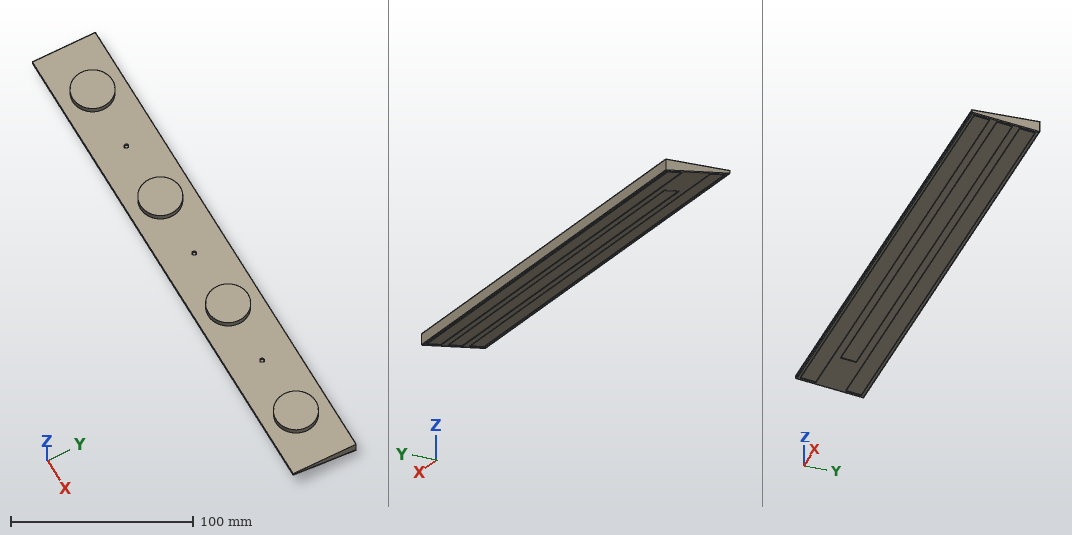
import cadquery as cq
import math

length = 299.3
width = 39.4
front_thickness = 2.04
slope_angle = 7.0
edge_chamfer = 0.5

pitch = 77.8
boss_count = 4
boss_diameter = 24.8
boss_height = 3.5
hole_diameter = 2.53
hole_depth = 1.5

recess_width = 9.0
recess_depth = 0.5
recess_margin = 2.0
middle_recess_start = 32.0
cutter_overshoot = 1.0


def underside_z(y):
    """Height of the sloping underside at a given Y."""
    return -front_thickness - (y + width / 2) * math.tan(math.radians(slope_angle))


def row_positions(count):
    """Evenly pitched points along X, centred on the strip."""
    return [((i - (count - 1) / 2) * pitch, 0) for i in range(count)]


def make_wedge():
    """Wedge with a chamfer all round its sloping underside."""
    front_y = -width / 2
    back_y = width / 2
    profile = [
        (front_y, 0),
        (back_y, 0),
        (back_y, underside_z(back_y)),
        (front_y, underside_z(front_y)),
    ]
    wedge = cq.Workplane("YZ").polyline(profile).close().extrude(length / 2, both=True)
    return wedge.faces("<Z").chamfer(edge_chamfer)


def make_bosses():
    """Row of round bosses standing on the top face."""
    points = row_positions(boss_count)
    return cq.Workplane("XY").pushPoints(points).circle(boss_diameter / 2).extrude(boss_height)


def make_holes():
    """Cutters for the blind holes between neighbouring bosses."""
    points = row_positions(boss_count - 1)
    return cq.Workplane("XY").pushPoints(points).circle(hole_diameter / 2).extrude(-hole_depth)


def make_recess(start_x, end_x, center_y):
    """Cutter for one recess whose floor runs parallel to the underside."""
    near_y = center_y - recess_width / 2
    far_y = center_y + recess_width / 2
    profile = [
        (near_y, underside_z(near_y) - cutter_overshoot),
        (far_y, underside_z(far_y) - cutter_overshoot),
        (far_y, underside_z(far_y) + recess_depth),
        (near_y, underside_z(near_y) + recess_depth),
    ]
    plane = cq.Workplane("YZ", origin=(start_x, 0, 0))
    return plane.polyline(profile).close().extrude(end_x - start_x)


def cut_recesses(body):
    """Two full-length outer recesses and a shorter one between them."""
    recess_end = length / 2 - recess_margin
    outer_y = width / 2 - recess_margin - recess_width / 2
    for center_y in (-outer_y, outer_y):
        body = body.cut(make_recess(-recess_end, recess_end, center_y))
    return body.cut(make_recess(middle_recess_start - length / 2, recess_end, 0))


result = cut_recesses(make_wedge()).union(make_bosses()).cut(make_holes())